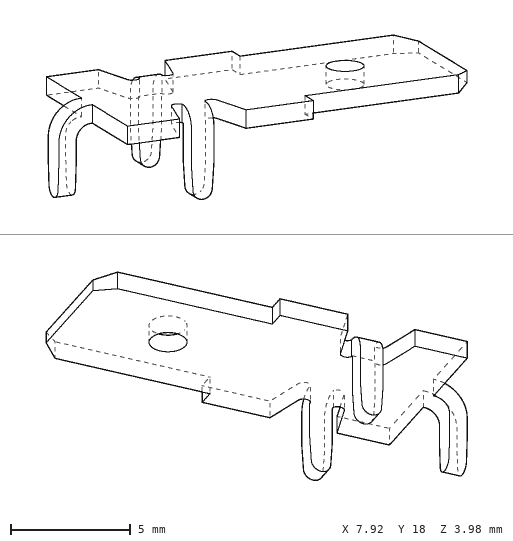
import cadquery as cq
import math

thickness = 0.81
length = 18.03
height = 3.98

body_width = 7.92
blade_width = 6.35
body_rear_y = 1.55
shoulder_y = 10.15

tip_length = 0.78
tip_width = 4.75
tip_relief = 0.15

hole_diameter = 1.59
hole_y = 13.5

prong_width = 1.05
prong_end_width = 0.9
prong_end_radius = prong_end_width / 2
prong_taper_z = -2.45
rear_bend_radius = 1.5
side_bend_radius = 0.83
side_prong_reach = 2.97
side_prong_y = 5.5

notch_radius = 0.29
notch_bottom_x = 1.93
notch_center_offset = 0.78
notch_angle = math.radians(15)


def make_plate():
    half_body = body_width / 2
    half_blade = blade_width / 2
    half_tip = tip_width / 2
    tip_start_y = length - tip_length
    right_edge = [
        (half_body, body_rear_y),
        (half_body, shoulder_y),
        (half_blade, shoulder_y),
        (half_blade, tip_start_y),
        (half_tip, length),
    ]
    left_edge = [(-x, y) for x, y in reversed(right_edge)]
    outline = cq.Workplane("XY").polyline(right_edge + left_edge).close().extrude(-thickness)
    side_profile = (
        cq.Workplane("YZ")
        .polyline([
            (body_rear_y, 0),
            (tip_start_y, 0),
            (length, -tip_relief),
            (length, tip_relief - thickness),
            (tip_start_y, -thickness),
            (body_rear_y, -thickness),
        ])
        .close()
        .extrude(half_body, both=True)
    )
    hole = cq.Workplane("XY").center(0, hole_y).circle(hole_diameter / 2).extrude(-thickness)
    return outline.intersect(side_profile).cut(hole)


def make_side_notch():
    """Right-hand notch: two round-bottomed flared reliefs and the space for a prong."""
    half_prong = prong_width / 2
    center_x = notch_bottom_x + notch_radius
    bend_start_x = side_prong_reach - side_bend_radius
    tangent_x = center_x - notch_radius * math.sin(notch_angle)
    tangent_y = notch_center_offset + notch_radius * math.cos(notch_angle)
    mouth_x = body_width / 2
    mouth_y = tangent_y + (mouth_x - tangent_x) * math.tan(notch_angle)
    rise = notch_center_offset - half_prong
    corner_x = center_x - math.sqrt(notch_radius**2 - rise**2)
    return (
        cq.Workplane("XY", origin=(0, side_prong_y, 0))
        .moveTo(mouth_x, mouth_y)
        .lineTo(tangent_x, tangent_y)
        .threePointArc((notch_bottom_x, notch_center_offset), (corner_x, half_prong))
        .lineTo(bend_start_x, half_prong)
        .lineTo(bend_start_x, -half_prong)
        .lineTo(corner_x, -half_prong)
        .threePointArc((notch_bottom_x, -notch_center_offset), (tangent_x, -tangent_y))
        .lineTo(mouth_x, -mouth_y)
        .close()
        .extrude(-thickness)
    )


def make_prong(bend_radius, lead):
    """Prong bending down toward -Y; the bend starts at Y = 0 after a straight lead."""
    inner_radius = bend_radius - thickness
    diagonal = math.sqrt(0.5)
    inner_y = -inner_radius
    bent_strip = (
        cq.Workplane("YZ")
        .moveTo(lead, 0)
        .lineTo(0, 0)
        .threePointArc((-bend_radius * diagonal, bend_radius * (diagonal - 1)), (-bend_radius, -bend_radius))
        .lineTo(-bend_radius, -height)
        .lineTo(inner_y, -height)
        .lineTo(inner_y, -bend_radius)
        .threePointArc((inner_y * diagonal, inner_radius * diagonal - bend_radius), (0, -thickness))
        .lineTo(lead, -thickness)
        .close()
        .extrude(prong_width / 2, both=True)
    )
    half_width = prong_width / 2
    half_end = prong_end_radius
    end_z = prong_end_radius - height
    face_outline = (
        cq.Workplane("XZ")
        .moveTo(-half_width, 0)
        .lineTo(-half_width, prong_taper_z)
        .lineTo(-half_end, end_z)
        .threePointArc((0, -height), (half_end, end_z))
        .lineTo(half_width, prong_taper_z)
        .lineTo(half_width, 0)
        .close()
        .extrude(bend_radius + lead, both=True)
    )
    return bent_strip.intersect(face_outline)


plate = make_plate()
right_notch = make_side_notch()
plate = plate.cut(right_notch).cut(right_notch.mirror("YZ"))

joint_overlap = 0.18
rear_prong = make_prong(rear_bend_radius, body_rear_y - rear_bend_radius + joint_overlap)
rear_prong = rear_prong.translate((0, rear_bend_radius, 0))

right_prong = (
    make_prong(side_bend_radius, joint_overlap)
    .rotate((0, 0, 0), (0, 0, 1), 90)
    .translate((side_prong_reach - side_bend_radius, side_prong_y, 0))
)
left_prong = right_prong.mirror("YZ")

result = plate.union(rear_prong).union(right_prong).union(left_prong)